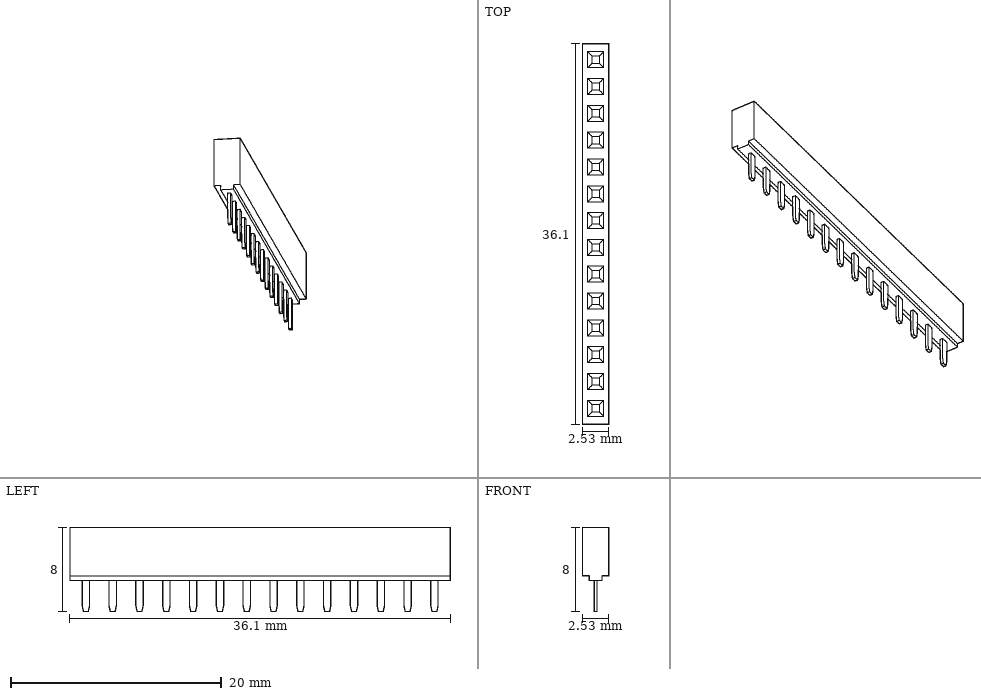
import cadquery as cq

length = 36.1
width = 2.53
total_height = 8.0

contact_count = 14
end_margin = 1.5

block_height = 4.62
rail_height = 0.45
rail_width = 1.23

socket_mouth = 1.5
socket_floor = 0.7
funnel_depth = 0.5
recess_depth = 0.15

pin_thickness = 0.3
pin_width = 0.72
tip_width = 0.47
tip_length = 0.58

block_bottom = total_height - block_height
rail_bottom = block_bottom - rail_height
row_start = end_margin - length / 2
pitch = (length - 2 * end_margin) / (contact_count - 1)
contact_places = [row_start + i * pitch for i in range(contact_count)]


def box_on(bottom, size_x, size_y, size_z):
    """Box centred on the Z axis with its underside at the given height."""
    return cq.Workplane("XY", origin=(0, 0, bottom)).box(size_x, size_y, size_z, centered=(True, True, False))


def make_socket(y):
    """Cutter for one socket: the funnel and the recess below it."""
    funnel = (
        cq.Workplane("XY", origin=(0, y, total_height))
        .rect(socket_mouth, socket_mouth)
        .workplane(offset=-funnel_depth)
        .rect(socket_floor, socket_floor)
        .loft(ruled=True)
    )
    return funnel.faces("<Z").workplane().rect(socket_floor, socket_floor).extrude(recess_depth)


def make_pin(y):
    """Flat pin from its tapered tip at Z = 0 up to the rail."""
    half_width = pin_width / 2
    half_tip = tip_width / 2
    outline = [
        (y - half_tip, 0),
        (y + half_tip, 0),
        (y + half_width, tip_length),
        (y + half_width, rail_bottom),
        (y - half_width, rail_bottom),
        (y - half_width, tip_length),
    ]
    return cq.Workplane("YZ").polyline(outline).close().extrude(pin_thickness / 2, both=True)


block = box_on(block_bottom, width, length, block_height)
rail = box_on(rail_bottom, rail_width, length, rail_height)
result = block.union(rail)

for place in contact_places:
    result = result.cut(make_socket(place))
    result = result.union(make_pin(place))